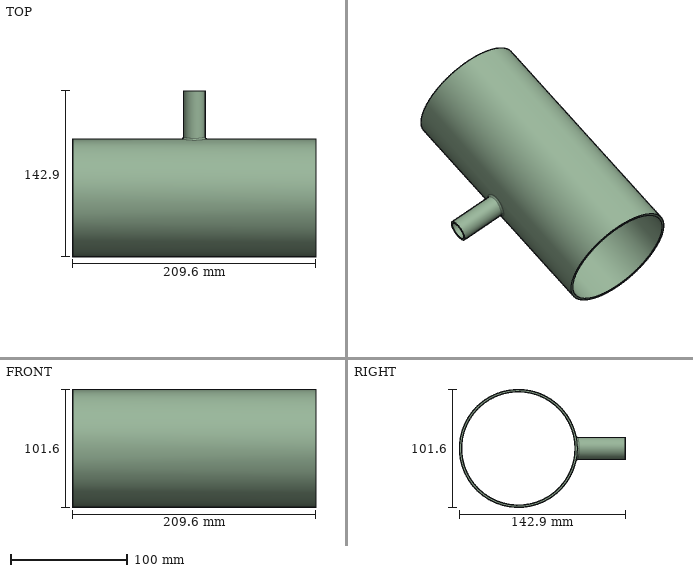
import cadquery as cq

run_length = 209.55
run_outer_diameter = 101.6
run_inner_diameter = 97.38

branch_outer_diameter = 19.05
branch_inner_diameter = 15.75
branch_reach = 92.075

weld_radius = 1.5875


def run_cylinder(diameter):
    """Cylinder along X, centred on the origin."""
    return cq.Workplane("YZ").circle(diameter / 2).extrude(run_length / 2, both=True)


def branch_cylinder(diameter):
    """Cylinder along +Y, from the main tube axis to the branch end."""
    return cq.Workplane("XZ").circle(diameter / 2).extrude(-branch_reach)


def blended_outer_body():
    """Both outer cylinders joined, with the seam between them filleted."""
    body = run_cylinder(run_outer_diameter).union(branch_cylinder(branch_outer_diameter))
    half_width = branch_outer_diameter / 2 + weld_radius
    seam_zone = cq.selectors.BoxSelector(
        (-half_width, 0, -half_width),
        (half_width, run_outer_diameter / 2 + weld_radius, half_width),
        boundingbox=True,
    )
    return body.edges(seam_zone).fillet(weld_radius)


result = (
    blended_outer_body()
    .cut(run_cylinder(run_inner_diameter))
    .cut(branch_cylinder(branch_inner_diameter))
)